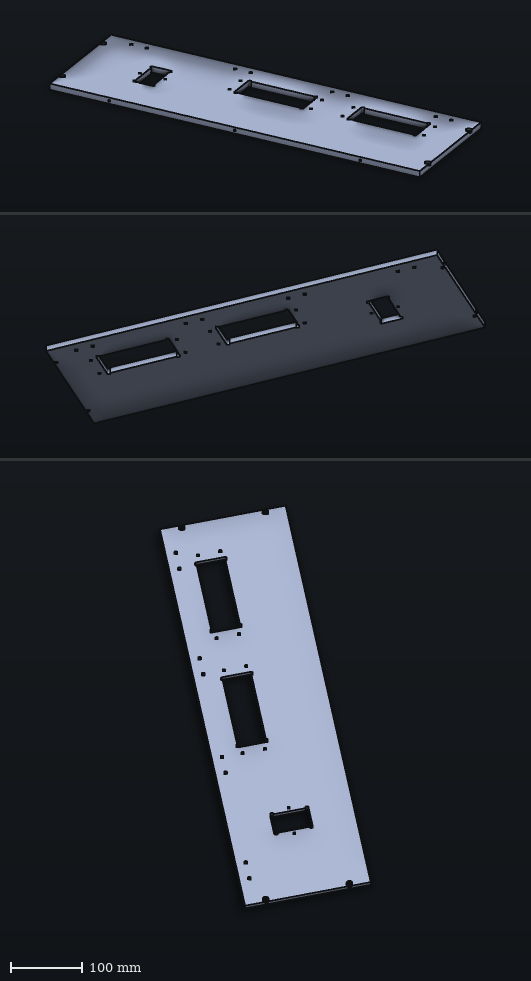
import cadquery as cq

length = 590.0
width = 180.0
thickness = 10.0

window_offset = 180.0
display_window = (110.0, 41.0)
display_y = 30.0
switch_window = (29.0, 55.0)
relief_diameter = 5.0

display_screw_diameter = 3.5
switch_screw_diameter = 3.0
display_screw_spacing = (130.0, 32.0)
switch_screw_spacing = 40.0

row_hole_diameter = 4.0
row_y = 75.5
row_hole_spacing = 25.0
row_pair_centers = (77.0, 242.5)

mount_spacing_x = 582.5
mount_spacing_y = 120.0
mount_diameter = 4.0
counterbore_diameter = 8.0
counterbore_depth = 3.5

edge_hole_spacing = 200.0
edge_hole_diameter = 3.0
edge_hole_depth = 10.0


def through_cylinders(points, diameter):
    return cq.Workplane("XY").pushPoints(points).circle(diameter / 2).extrude(thickness)


def corner_points(center, spacing_x, spacing_y):
    """Four points of a rectangle about the given center."""
    x, y = center
    return [(x + i * spacing_x / 2, y + j * spacing_y / 2) for i in (-1, 1) for j in (-1, 1)]


def window(center, size, relief_along_x):
    """Rectangular opening; each corner relief bulges out along X or along Y."""
    size_x, size_y = size
    opening = cq.Workplane("XY").center(*center).rect(size_x, size_y).extrude(thickness)
    if relief_along_x:
        points = corner_points(center, size_x, size_y - relief_diameter)
    else:
        points = corner_points(center, size_x - relief_diameter, size_y)
    return opening.union(through_cylinders(points, relief_diameter))


panel = cq.Workplane("XY").box(length, width, thickness, centered=(True, True, False))

for x in (0, window_offset):
    display_center = (x, display_y)
    panel = panel.cut(window(display_center, display_window, relief_along_x=False))
    display_screws = corner_points(display_center, *display_screw_spacing)
    panel = panel.cut(through_cylinders(display_screws, display_screw_diameter))

panel = panel.cut(window((-window_offset, 0), switch_window, relief_along_x=True))
switch_screws = [(-window_offset + side * switch_screw_spacing / 2, 0) for side in (-1, 1)]
panel = panel.cut(through_cylinders(switch_screws, switch_screw_diameter))

row_points = [
    (side * pair_center + step * row_hole_spacing / 2, row_y)
    for pair_center in row_pair_centers
    for side in (-1, 1)
    for step in (-1, 1)
]
panel = panel.cut(through_cylinders(row_points, row_hole_diameter))

panel = (
    panel.faces(">Z").workplane(origin=(0, 0, thickness))
    .pushPoints(corner_points((0, 0), mount_spacing_x, mount_spacing_y))
    .cboreHole(mount_diameter, counterbore_diameter, counterbore_depth)
)

edge_points = [(i * edge_hole_spacing, thickness / 2) for i in (-1, 0, 1)]
edge_holes = (
    cq.Workplane("XZ", origin=(0, -width / 2, 0))
    .pushPoints(edge_points)
    .circle(edge_hole_diameter / 2)
    .extrude(-edge_hole_depth)
)
panel = panel.cut(edge_holes)

result = panel